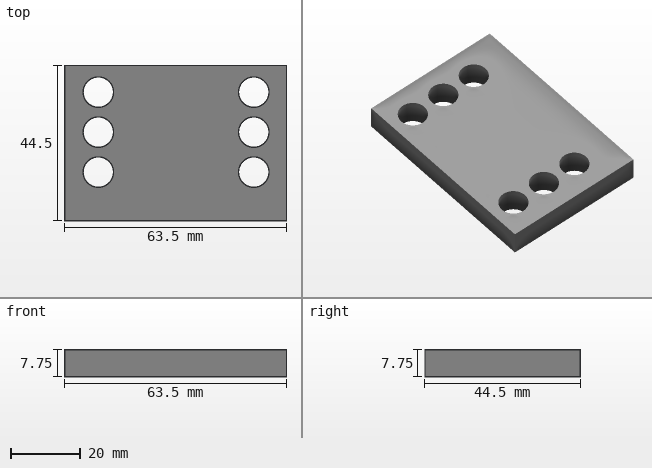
import cadquery as cq

length = 63.5
width = 44.45
thickness = 7.75

hole_diameter = 8.65
left_edge_to_first_column = 9.65
column_spacing = 44.45
row_pitch = 11.4
column_count = 2
rows_per_column = 3
back_edge_to_first_row = 7.6

first_column_x = -length / 2 + left_edge_to_first_column
first_row_y = width / 2 - back_edge_to_first_row
hole_centers = [
    (first_column_x + column * column_spacing, first_row_y - row * row_pitch)
    for column in range(column_count)
    for row in range(rows_per_column)
]

plate = cq.Workplane("XY").box(length, width, thickness)
result = plate.faces(">Z").workplane().pushPoints(hole_centers).hole(hole_diameter)